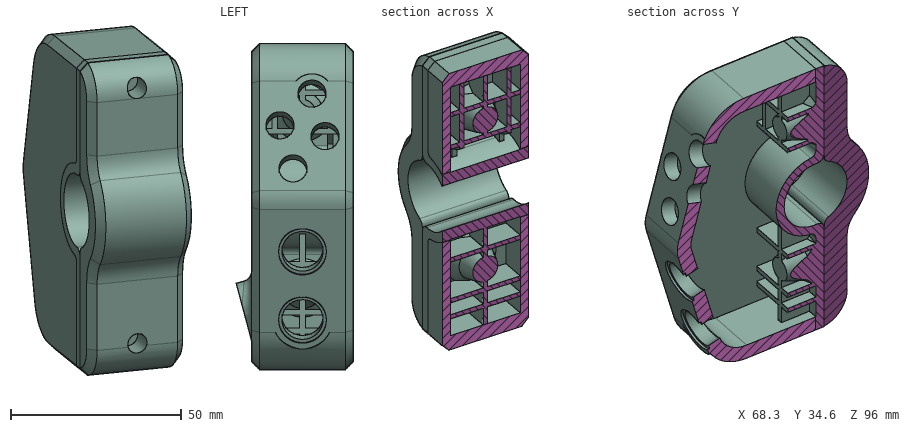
import cadquery as cq
import math


top_z = 46.1
bottom_z = -49.9
half_depth = 15.0
edge_chamfer = 2.4

face_angle = 15.3
point_x = -49.7
point_radius = 10.6
housing_corner_radius = 15.0

clamp_face_x = 11.3
clamp_corner_radius = 10.0
knuckle_radius = 19.0
knuckle_blend_radius = 10.0
clamp_screw_diameter = 6.0
clamp_screw_z = 39.1

bore_diameter = 22.2
bore_radius = bore_diameter / 2
bore_lip_radius = 2.5
lid_thickness = 3.1
lid_wall = 3.1
lid_bulge_radius = bore_radius + lid_wall
lid_bulge_blend = 2.0

outer_wall = 5.0
side_wall = 3.0

hole_reach = outer_wall * 2

rib_height = 10.0
rib_thickness = 1.6
upper_cross_rib_z = [20.3, 31.6]
lower_cross_rib_z = [-18.8, -32.9, -38.5]
side_rib_y = 8.2
gusset_tip_z = 16.5
gusset_tip_height = 3.8
lid_boss_z = 25.8
lid_boss_base_diameter = 17.2
lid_boss_waist_diameter = 12.0
lid_boss_tip_diameter = 7.5
lid_boss_waist_height = 3.0

small_hole_diameter = 8.3
small_pad_diameter = 12.1
small_hole_places = [(-2.8, 31.3), (6.6, 22.0), (-6.6, 18.8), (2.8, 9.3)]

large_hole_diameter = 12.1
large_counterbore_diameter = 14.0
large_counterbore_depth = 0.8
large_pad_diameter = 17.6
large_hole_z = [-15.3, -35.3]

side_boss_diameter = 17.6
side_boss_x = -22.9
side_boss_z = -32.9
side_boss_blend = 3.0
side_boss_tilt = 15.0

beyond = 192.0

slope = math.tan(math.radians(face_angle))
tilt_cos = math.cos(math.radians(face_angle))
tilt_sin = math.sin(math.radians(face_angle))
side_boss_cos = math.cos(math.radians(side_boss_tilt))
side_boss_sin = math.sin(math.radians(side_boss_tilt))


def box(x_range, y_range, z_range):
    """Box between two limits along each axis."""
    size = [limits[1] - limits[0] for limits in (x_range, y_range, z_range)]
    corner = (x_range[0], y_range[0], z_range[0])
    return cq.Workplane("XY").box(*size, centered=False).translate(corner)


def cylinder_along_y(radius, half_length):
    return cq.Workplane("XZ").circle(radius).extrude(half_length, both=True)


def near(workplane, x, z):
    """Edge parallel to Y closest to the point (x, z)."""
    return workplane.edges("|Y").edges(cq.selectors.NearestToPointSelector((x, 0, z)))


def pointed_prism(inset, prism_half_depth):
    """Prism with the pointed outline and square +X corners, every side moved inwards by the inset."""
    tip_x = point_x + inset / tilt_cos
    high = top_z - inset
    low = bottom_z + inset
    right = clamp_face_x - inset
    high_left = tip_x + high * slope
    low_left = tip_x - low * slope
    corners = [(tip_x, 0), (high_left, high), (right, high), (right, low), (low_left, low)]
    prism = cq.Workplane("XZ").polyline(corners).close().extrude(prism_half_depth, both=True)
    prism = near(prism, tip_x, 0).fillet(point_radius - inset)
    for x, z in ((high_left, high), (low_left, low)):
        prism = near(prism, x, z).fillet(housing_corner_radius - inset)
    return prism


def make_envelope(plus_x_corner_radius=None):
    """Outer shape of the closed assembly, with its +X corners square or rounded."""
    envelope = pointed_prism(0, half_depth)
    if plus_x_corner_radius:
        for z in (top_z, bottom_z):
            envelope = near(envelope, clamp_face_x, z).fillet(plus_x_corner_radius)
    envelope = envelope.union(cylinder_along_y(knuckle_radius, half_depth))
    blend_z = math.sqrt(knuckle_radius**2 - clamp_face_x**2)
    for z in (blend_z, -blend_z):
        envelope = near(envelope, clamp_face_x, z).fillet(knuckle_blend_radius)
    return envelope.faces("<Y or >Y").chamfer(edge_chamfer)


def make_lid_zone():
    """Slab with a half-round bulge around the bore, longer and taller than the part."""
    whole = (-beyond, beyond)
    bulge = cylinder_along_y(lid_bulge_radius, beyond)
    bulge = bulge.intersect(box((-beyond, lid_thickness), whole, whole))
    zone = box((0, lid_thickness), whole, whole).union(bulge)
    for z in (lid_bulge_radius, -lid_bulge_radius):
        zone = near(zone, 0, z).fillet(lid_bulge_blend)
    return zone


def open_bore(body):
    """Cut the handlebar bore and round its lips at the parting plane."""
    body = body.cut(cylinder_along_y(bore_radius, beyond))
    lip_z = math.sqrt(bore_radius**2 - lid_thickness**2)
    for z in (lip_z, -lip_z):
        body = near(body, lid_thickness, z).fillet(bore_lip_radius)
    return body


def face_plane(y, z):
    """Plane on a sloping face at the given Y and Z, with its normal pointing outwards."""
    side = math.copysign(1, z)
    origin = (point_x + abs(z) * slope, y, z)
    return cq.Plane(origin=origin, xDir=(0, 1, 0), normal=(-tilt_cos, 0, side * tilt_sin))


def face_disc(y, z, diameter, depth):
    """Round disc reaching inwards from a sloping face."""
    return cq.Workplane(face_plane(y, z)).circle(diameter / 2).extrude(-depth)


def make_side_boss():
    """Slanted round boss blended into the +Y side; its lowest rim point lies on that side."""
    everywhere = (-beyond, beyond)
    centre_y = half_depth + side_boss_diameter / 2 * side_boss_sin
    end_plane = cq.Plane(
        origin=(side_boss_x, centre_y, side_boss_z),
        xDir=(1, 0, 0),
        normal=(0, side_boss_cos, -side_boss_sin),
    )
    column = cq.Workplane(end_plane).circle(side_boss_diameter / 2).extrude(side_boss_diameter, both=True)
    column = column.cut(box(everywhere, (-beyond, half_depth - side_wall), everywhere))

    reach = side_boss_diameter
    slab = box(
        (side_boss_x - reach, side_boss_x + reach),
        (half_depth - side_wall, half_depth),
        (side_boss_z - reach, side_boss_z + reach),
    )
    wall_point = (side_boss_x, half_depth, side_boss_z)
    root_edge = cq.selectors.NearestToPointSelector(wall_point)
    blended = slab.union(column).edges("%ELLIPSE").edges(root_edge).fillet(side_boss_blend)

    beyond_end = cq.Workplane(end_plane).rect(beyond, beyond).extrude(beyond)
    inside_wall = box(everywhere, (-beyond, half_depth), everywhere)
    return blended.cut(beyond_end).cut(inside_wall)


def make_housing(envelope, lid_zone, cavity):
    beside_lid = box((0, beyond), (-beyond, beyond), (-beyond, beyond))
    housing = envelope.cut(beside_lid)
    for y, z in small_hole_places:
        housing = housing.union(face_disc(y, z, small_pad_diameter, outer_wall))
    for z in large_hole_z:
        housing = housing.union(face_disc(0, z, large_pad_diameter, outer_wall))
    housing = housing.union(make_side_boss())
    housing = housing.cut(cavity).cut(lid_zone)
    for y, z in small_hole_places:
        housing = housing.cut(face_disc(y, z, small_hole_diameter, hole_reach))
    for z in large_hole_z:
        housing = housing.cut(face_disc(0, z, large_hole_diameter, hole_reach))
        housing = housing.cut(face_disc(0, z, large_counterbore_diameter, large_counterbore_depth))
    return housing


def make_lid_boss(z):
    """Screw boss that narrows in two steps from the lid plate to the rib tops."""
    profile = [
        (0, z),
        (0, z + lid_boss_base_diameter / 2),
        (-lid_boss_waist_height, z + lid_boss_waist_diameter / 2),
        (-rib_height, z + lid_boss_tip_diameter / 2),
        (-rib_height, z),
    ]
    return cq.Workplane("XZ").polyline(profile).close().revolve(360, (0, z), (1, z))


def make_lid_ribs(cavity):
    """Rib grid with screw bosses, trimmed to fill the hollow of the housing."""
    rib_x = (-rib_height, 0)
    half_rib = rib_thickness / 2
    lowest_upper_rib = upper_cross_rib_z[0] - half_rib
    ribs = box(rib_x, (-half_rib, half_rib), (lowest_upper_rib, beyond))
    ribs = ribs.union(box(rib_x, (-half_rib, half_rib), (-beyond, 0)))
    for z in upper_cross_rib_z + lower_cross_rib_z:
        ribs = ribs.union(box(rib_x, (-beyond, beyond), (z - half_rib, z + half_rib)))
    side_rib = [
        (0, top_z),
        (-rib_height, top_z),
        (-rib_height, lowest_upper_rib),
        (-gusset_tip_height, gusset_tip_z),
        (-gusset_tip_height, 0),
        (0, 0),
    ]
    for y in (side_rib_y, -side_rib_y):
        plane = cq.Workplane("XZ", origin=(0, y, 0))
        ribs = ribs.union(plane.polyline(side_rib).close().extrude(half_rib, both=True))
    for z in (lid_boss_z, -lid_boss_z):
        ribs = ribs.union(make_lid_boss(z))
    return ribs.intersect(cavity)


def make_lid(envelope, lid_zone, cavity):
    plate = envelope.intersect(lid_zone)
    return open_bore(plate.union(make_lid_ribs(cavity)))


def make_clamp():
    """Clamp cut from an envelope of its own, as only the clamp has rounded +X corners."""
    envelope = make_envelope(clamp_corner_radius)
    beside_clamp = box((-beyond, lid_thickness), (-beyond, beyond), (-beyond, beyond))
    clamp = open_bore(envelope.cut(beside_clamp))
    for z in (clamp_screw_z, -clamp_screw_z):
        screw_hole = cq.Workplane("YZ").center(0, z).circle(clamp_screw_diameter / 2).extrude(beyond)
        clamp = clamp.cut(screw_hole)
    return clamp


envelope = make_envelope()
lid_zone = make_lid_zone()
hollow = pointed_prism(outer_wall, half_depth - side_wall)
cavity = hollow.cut(box((0, beyond), (-beyond, beyond), (-beyond, beyond)))

housing = make_housing(envelope, lid_zone, cavity)
lid = make_lid(envelope, lid_zone, cavity)
clamp = make_clamp()

result = cq.Compound.makeCompound([housing.val(), lid.val(), clamp.val()])